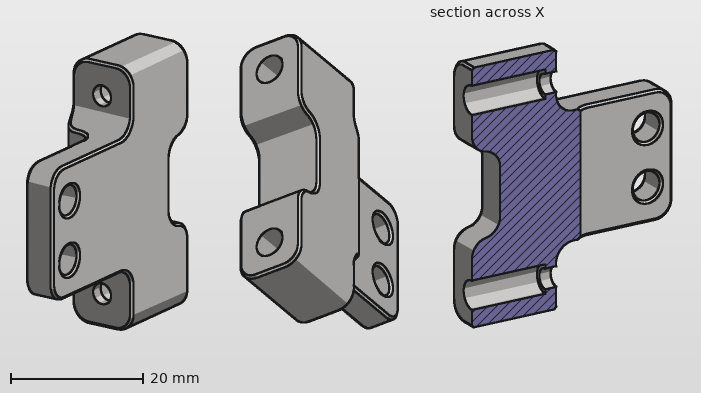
import cadquery as cq
import math

block_width = 11.1
block_depth = 15.0
block_height = 42.2
block_corner_radius = 3.0
mount_hole_diameter = 3.3
mount_hole_spacing = 31.6
mount_lip_depth = 2.0
mount_bore_diameter = 4.7

flange_thickness = 5.0
flange_height = 21.2
flange_reach = 21.0
flange_corner_radius = 3.0
flange_hole_diameter = 4.7
flange_hole_spacing = 9.5
flange_hole_inset = 4.5

notch_depth = 5.0
notch_floor_width = 8.0
notch_radius = 3.0

edge_chamfer = 0.4

block_front = flange_reach
block_back = block_front + block_depth
block_half_width = block_width / 2
block_half_height = block_height / 2
flange_half_height = flange_height / 2
flange_side = block_half_width - flange_thickness

root_radius = (block_width - flange_thickness) / 2


def arc_midpoint(center, radius, start_degrees, end_degrees):
    """Point halfway along an arc about center."""
    angle = math.radians((start_degrees + end_degrees) / 2)
    return (center[0] + radius * math.cos(angle), center[1] + radius * math.sin(angle))


def make_upper_half():
    """Upper half of the YZ outline (flange, root fillet, block and notch) swept across the width."""
    flange_corner = (flange_corner_radius, flange_half_height - flange_corner_radius)
    root_center = (block_front - root_radius, flange_half_height + root_radius)
    flank_sweep = math.degrees(math.acos(1 - notch_depth / (2 * notch_radius)))
    flank_rise = 2 * notch_radius * math.sin(math.radians(flank_sweep))
    floor_y = block_back - notch_depth
    floor_z = notch_floor_width / 2
    mouth_z = floor_z + flank_rise
    mouth_center = (block_back - notch_radius, mouth_z)
    floor_center = (floor_y + notch_radius, floor_z)
    return (
        cq.Workplane("YZ")
        .workplane(offset=-block_half_width)
        .moveTo(0, 0)
        .lineTo(0, flange_corner[1])
        .threePointArc(
            arc_midpoint(flange_corner, flange_corner_radius, 180, 90),
            (flange_corner[0], flange_half_height),
        )
        .lineTo(root_center[0], flange_half_height)
        .threePointArc(
            arc_midpoint(root_center, root_radius, 270, 360),
            (block_front, root_center[1]),
        )
        .lineTo(block_front, block_half_height)
        .lineTo(block_back, block_half_height)
        .lineTo(block_back, mouth_z)
        .threePointArc(
            arc_midpoint(mouth_center, notch_radius, 0, -flank_sweep),
            (block_back - notch_depth / 2, floor_z + flank_rise / 2),
        )
        .threePointArc(
            arc_midpoint(floor_center, notch_radius, 180 - flank_sweep, 180),
            (floor_y, floor_z),
        )
        .lineTo(floor_y, 0)
        .close()
        .extrude(block_width)
    )


def make_side_profile():
    """Both halves of the YZ outline, with the outer edges along Y rounded."""
    upper_half = make_upper_half()
    body = upper_half.union(upper_half.mirror("XY")).clean()
    return body.edges("|Y and (>Z or <Z)").fillet(block_corner_radius)


def make_top_profile():
    """Plan outline in the XY plane: the block narrows to the flange through two quarter arcs."""
    outer_center = (-block_half_width + root_radius, block_front)
    inner_center = (outer_center[0], block_front - 2 * root_radius)
    return (
        cq.Workplane("XY")
        .workplane(offset=-block_half_height)
        .moveTo(-block_half_width, block_back)
        .lineTo(-block_half_width, block_front)
        .threePointArc(
            arc_midpoint(outer_center, root_radius, 180, 270),
            (outer_center[0], block_front - root_radius),
        )
        .threePointArc(
            arc_midpoint(inner_center, root_radius, 90, 0),
            (flange_side, inner_center[1]),
        )
        .lineTo(flange_side, 0)
        .lineTo(block_half_width, 0)
        .lineTo(block_half_width, block_back)
        .close()
        .extrude(block_height)
    )


def find_sharp_edges(body):
    """Edges whose two faces meet at an angle rather than tangentially."""
    tangent_cosine = 0.99
    sharp_edges = []
    for edge in body.edges().vals():
        middle = edge.positionAt(0.5)
        faces = edge.ancestors(body.val(), "Face").Faces()
        normals = [face.normalAt(middle) for face in faces]
        if len(normals) == 2 and normals[0].dot(normals[1]) < tangent_cosine:
            sharp_edges.append(edge)
    return sharp_edges


def make_body():
    """Solid bracket with its sharp outer edges chamfered."""
    body = make_side_profile().intersect(make_top_profile())
    return body.newObject(find_sharp_edges(body)).chamfer(edge_chamfer)


def drill_mount_holes(body):
    """Stepped holes along Y: a screw hole through the front lip and a wider bore behind it."""
    for side in (-1, 1):
        hole_start = cq.Workplane("XZ", origin=(0, block_back, side * mount_hole_spacing / 2))
        body = body.cut(hole_start.circle(mount_hole_diameter / 2).extrude(block_depth))
        body = body.cut(hole_start.circle(mount_bore_diameter / 2).extrude(block_depth - mount_lip_depth))
    return body


def drill_flange_holes(body):
    """Holes along X through the flange, chamfered at both mouths."""
    radius = flange_hole_diameter / 2
    mouth_radius = radius + edge_chamfer
    hole_profile = (
        cq.Workplane("XY")
        .moveTo(flange_side, 0)
        .lineTo(flange_side, mouth_radius)
        .lineTo(flange_side + edge_chamfer, radius)
        .lineTo(block_half_width - edge_chamfer, radius)
        .lineTo(block_half_width, mouth_radius)
        .lineTo(block_half_width, 0)
        .close()
    )
    cutter = hole_profile.revolve(360, (0, 0, 0), (1, 0, 0))
    for side in (-1, 1):
        body = body.cut(cutter.translate((0, flange_hole_inset, side * flange_hole_spacing / 2)))
    return body


result = drill_flange_holes(drill_mount_holes(make_body()))